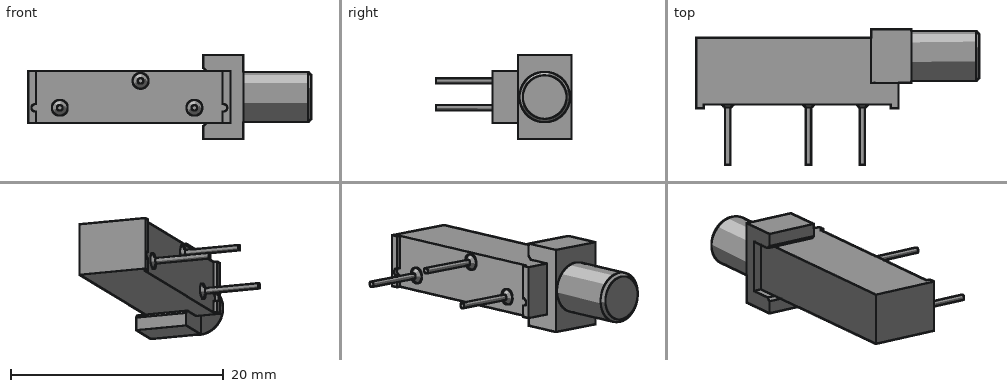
import cadquery as cq

total_length = 26.67
total_depth = 12.77

bracket_height = 7.92
bracket_depth = 5.07
bracket_left = 16.48
bracket_right = 20.27
jaw_chamfer = 0.3

body_length = 19.07
body_height = 4.9
body_rear = -0.8
floor_y = -7.1
foot_drop = 0.37
foot_width = 0.75
notch_radius = 0.35
notch_reach = 0.43

barrel_radius = 2.37
barrel_chamfer = 0.32

pitch = 2.53
first_pin_x = 3.0
low_row_z = -1.01
high_row_z = low_row_z + pitch
pin_positions = [
    (first_pin_x, low_row_z),
    (first_pin_x + 3 * pitch, high_row_z),
    (first_pin_x + 5 * pitch, low_row_z),
]
pin_radius = 0.27
collar_radius = 0.55
collar_drop = 0.3
base_radius = 0.75
recess_depth = 0.1


def box_between(x_range, y_range, z_height):
    """Box spanning two X and two Y limits, centred on Z = 0."""
    width = x_range[1] - x_range[0]
    depth = y_range[1] - y_range[0]
    return (
        cq.Workplane("XY")
        .box(width, depth, z_height, centered=(False, False, True))
        .translate((x_range[0], y_range[0], 0))
    )


def make_body():
    foot_y = floor_y - foot_drop
    body = box_between((0, body_length), (foot_y, body_rear), body_height)
    foot_edges = (foot_width, body_length - foot_width)
    body = body.cut(box_between(foot_edges, (foot_y, floor_y), body_height))

    slot_length = 2 * notch_reach
    for edge_x in foot_edges:
        notch = (
            cq.Workplane("XZ", origin=(edge_x, floor_y, low_row_z))
            .slot2D(slot_length, 2 * notch_radius)
            .extrude(foot_drop)
        )
        body = body.cut(notch)

    for x, z in pin_positions:
        recess = (
            cq.Workplane("XZ", origin=(x, floor_y, z))
            .circle(base_radius)
            .extrude(-recess_depth)
        )
        body = body.cut(recess)
    return body


def make_bracket():
    half_outer = bracket_height / 2
    half_inner = body_height / 2
    outline = [
        (bracket_right, half_outer),
        (bracket_left, half_outer),
        (bracket_left, half_inner + jaw_chamfer),
        (bracket_left + jaw_chamfer, half_inner),
        (body_length, half_inner),
    ]
    mirrored = [(x, -z) for x, z in reversed(outline)]
    return cq.Workplane("XZ").polyline(outline + mirrored).close().extrude(bracket_depth)


def make_barrel():
    barrel_center_y = -bracket_depth / 2
    return (
        cq.Workplane("YZ", origin=(bracket_right, barrel_center_y, 0))
        .circle(barrel_radius)
        .extrude(total_length - bracket_right)
        .faces(">X")
        .chamfer(barrel_chamfer)
    )


def make_pin(x, z):
    """Round pin with a two-slope conical collar that starts at the bottom of its floor recess."""
    pin_length = total_depth + floor_y
    profile = [
        (0, -recess_depth),
        (base_radius, -recess_depth),
        (collar_radius, 0),
        (pin_radius, collar_drop),
        (pin_radius, pin_length),
        (0, pin_length),
    ]
    pin = cq.Workplane("XY").polyline(profile).close().revolve(360, (0, 0), (0, 1))
    return pin.mirror("XZ").translate((x, floor_y, z))


result = make_body().union(make_bracket()).union(make_barrel())
for pin_x, pin_z in pin_positions:
    result = result.union(make_pin(pin_x, pin_z))